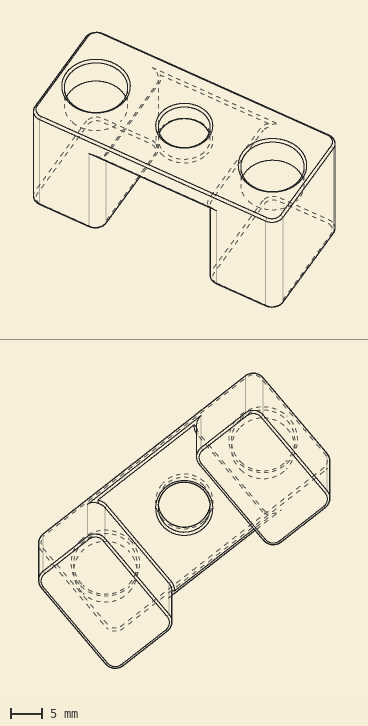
import cadquery as cq

length = 45.0
depth = 20.0
height = 22.3
corner_radius = 2.0
edge_chamfer = 0.4
flare_angle = 45

opening_width = 19.15
bridge_thickness = 3.8
leg_height = height - bridge_thickness
leg_length = (length - opening_width) / 2
leg_offset = (length - leg_length) / 2

through_diameter = 8.2
pocket_diameter = 10.0
pocket_depth = 5.0
pocket_offset = 16.0


def rounded_block(size_x, size_z):
    """Block standing on Z = 0 with rounded upright edges."""
    block = cq.Workplane("XY").box(size_x, depth, size_z, centered=(True, True, False))
    return block.edges("|Z").fillet(corner_radius)


def leg(x):
    """Leg reaching up to the top face, with a chamfered foot."""
    return rounded_block(leg_length, height).faces("<Z").chamfer(edge_chamfer).translate((x, 0, 0))


def bridge():
    """Full-length top plate; its underside is chamfered across the opening."""
    plate = rounded_block(length, bridge_thickness).edges("<Z").chamfer(edge_chamfer)
    return plate.translate((0, 0, leg_height))


def leg_flare(x):
    """Sloped collar where a leg meets the underside of the bridge."""
    flare_outline = cq.Sketch().rect(leg_length + 2 * edge_chamfer, depth + 2 * edge_chamfer)
    flare_outline = flare_outline.vertices().fillet(corner_radius + edge_chamfer)
    collar = (
        cq.Workplane("XY", origin=(x, 0, leg_height))
        .placeSketch(flare_outline)
        .extrude(-edge_chamfer, taper=flare_angle)
    )
    upper_half_depth = depth / 2 - edge_chamfer
    lower_half_depth = upper_half_depth - edge_chamfer
    collar_bottom = leg_height - edge_chamfer
    chamfer_limits = (
        cq.Workplane("YZ")
        .polyline(
            [
                (-lower_half_depth, collar_bottom),
                (lower_half_depth, collar_bottom),
                (upper_half_depth, leg_height),
                (-upper_half_depth, leg_height),
            ]
        )
        .close()
        .extrude(length / 2 - corner_radius, both=True)
    )
    return collar.intersect(chamfer_limits)


def countersink(x, z, diameter, direction):
    """Cone cutter narrowing from a chamfered mouth at height z to the bore."""
    return cq.Workplane(
        cq.Solid.makeCone(
            diameter / 2 + edge_chamfer,
            diameter / 2,
            edge_chamfer,
            pnt=cq.Vector(x, 0, z),
            dir=cq.Vector(0, 0, direction),
        )
    )


def chamfered_hole(x, diameter, hole_depth):
    """Cutter for a vertical hole from the top face with a chamfered mouth."""
    bore = cq.Workplane("XY", origin=(x, 0, height)).circle(diameter / 2).extrude(-hole_depth)
    return bore.union(countersink(x, height, diameter, -1))


body = bridge()
for side in (-1, 1):
    body = body.union(leg(side * leg_offset)).union(leg_flare(side * leg_offset))
body = body.faces(">Z").edges().chamfer(edge_chamfer)

body = body.cut(chamfered_hole(0, through_diameter, bridge_thickness))
body = body.cut(countersink(0, leg_height, through_diameter, 1))
for side in (-1, 1):
    body = body.cut(chamfered_hole(side * pocket_offset, pocket_diameter, pocket_depth))

result = body